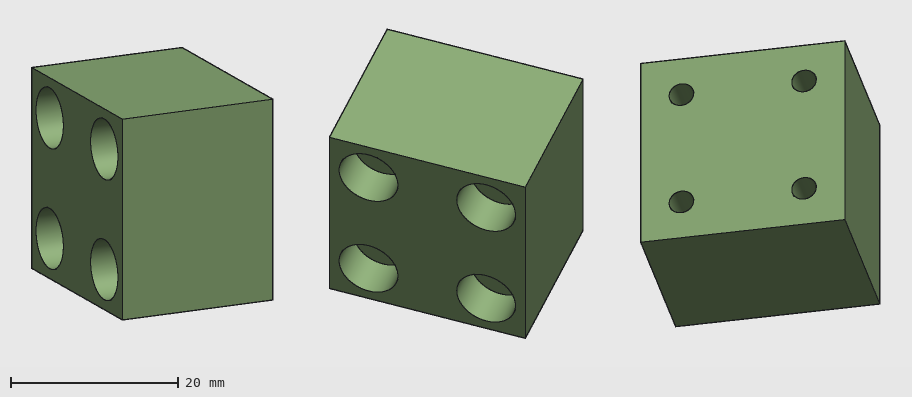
import cadquery as cq

width = 25.0
depth = 20.0
height = 25.0

hole_spacing = 15.0
through_diameter = 3.0
counterbore_diameter = 7.5
counterbore_depth = 5.0


def make_block():
    """Plain block centred on the origin."""
    return cq.Workplane("XY").box(width, depth, height)


def add_screw_holes(body):
    """Cut the counterbored through holes along +Y."""
    return (
        body.faces("<Y")
        .workplane(centerOption="CenterOfBoundBox")
        .rarray(hole_spacing, hole_spacing, 2, 2)
        .cboreHole(through_diameter, counterbore_diameter, counterbore_depth)
    )


result = add_screw_holes(make_block())